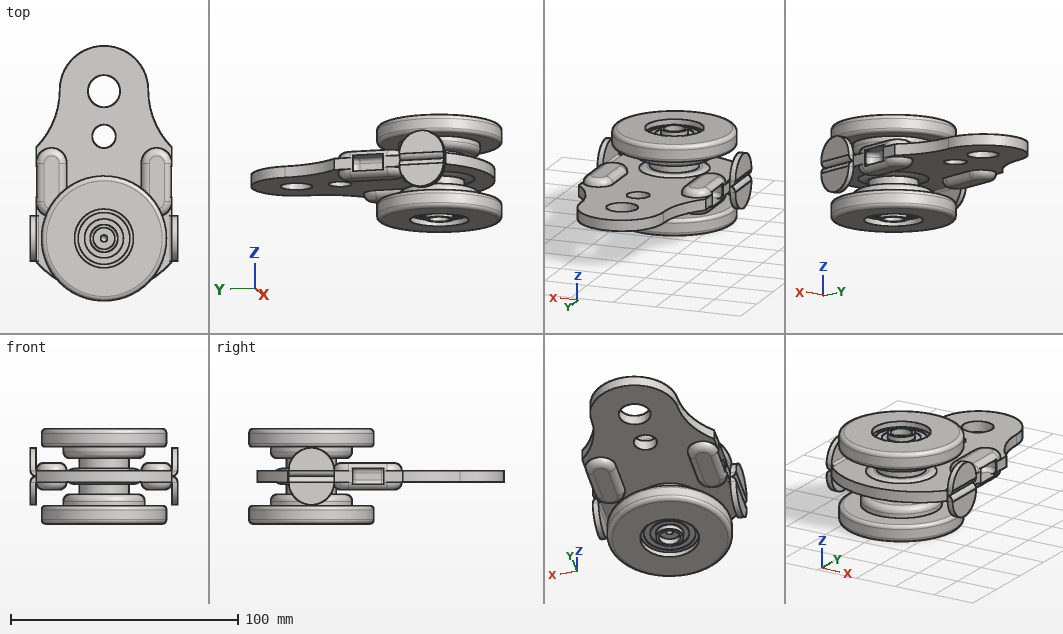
import cadquery as cq
import math

plate_thickness = 5.0
plate_top = plate_thickness / 2
body_half_width = 29.9
body_shoulder_y = 40.1
body_corner_y = -10.3
body_front_y = -23.9
tongue_radius = 19.5
tongue_end_y = 84.8
tongue_hole_diameter = 14.0
tongue_hole_y = 64.8
small_hole_diameter = 10.2
small_hole_y = 44.9
tongue_center_y = tongue_end_y - tongue_radius

swell_top_radius = 12.2
swell_foot_radius = 15.6
swell_height = 1.0

pad_radius = 6.7
pad_length = 30.3
pad_center_y = 24.7
pad_half_height = 6.0
pad_center_x = body_half_width - pad_radius
pad_edge_radius = pad_half_height - plate_top

cavity_radius = 4.0
cavity_end_spacing = 11.6
cavity_length = cavity_end_spacing + 2 * cavity_radius
cavity_height = 7.2
cavity_center_x = 25.4
cavity_center_y = 24.9
cavity_edge_radius = 2.0
window_length = 13.6
window_depth = body_half_width - cavity_center_x

ear_outer_x = 32.53
ear_radius = 10.0
ear_inner_bend = 1.0
ear_thickness = ear_outer_x - body_half_width

wheel_radius = 27.5
wheel_top = 21.0
wheel_thickness = 8.1
outer_edge_radius = 2.0
inner_edge_radius = 1.7
wheel_bottom = wheel_top - wheel_thickness
flange_radius = 36.0 / 2
flange_bottom = 7.9
flange_edge_radius = 3.0
hub_radius = 22.0 / 2

seat_radius = 26.0 / 2
seat_depth = 2.6
shield_outer_radius = 22.8 / 2
shield_inner_radius = 17.2 / 2
shield_depth = 0.3
axle_gap_radius = 12.2 / 2
axle_radius = 12.0 / 2
axle_bore_radius = 9.5 / 2
axle_bore_depth = 3.0
axle_setback = 0.3
center_mark_radius = 3.0 / 2
seat_floor = wheel_top - seat_depth
shield_floor = seat_floor - shield_depth
axle_top = wheel_top - axle_setback
axle_floor = axle_top - axle_bore_depth


def mirrored(shape, plane):
    return shape.union(shape.mirror(plane))


def make_hole(y, diameter):
    return cq.Workplane("XY", origin=(0, y, -plate_top)).circle(diameter / 2).extrude(plate_thickness)


def make_plate():
    run = body_half_width - tongue_radius
    drop = tongue_center_y - body_shoulder_y
    waist_radius = (run**2 + drop**2) / (2 * run)
    half_angle = math.asin(drop / waist_radius) / 2
    mid_x = tongue_radius + waist_radius * (1 - math.cos(half_angle))
    mid_y = tongue_center_y - waist_radius * math.sin(half_angle)
    return (
        cq.Workplane("XY", origin=(0, 0, -plate_top))
        .moveTo(-tongue_radius, tongue_center_y)
        .threePointArc((0, tongue_end_y), (tongue_radius, tongue_center_y))
        .threePointArc((mid_x, mid_y), (body_half_width, body_shoulder_y))
        .lineTo(body_half_width, body_corner_y)
        .threePointArc((0, body_front_y), (-body_half_width, body_corner_y))
        .lineTo(-body_half_width, body_shoulder_y)
        .threePointArc((-mid_x, mid_y), (-tongue_radius, tongue_center_y))
        .close()
        .extrude(plate_thickness)
        .cut(make_hole(tongue_hole_y, tongue_hole_diameter))
        .cut(make_hole(small_hole_y, small_hole_diameter))
    )


def make_pad():
    return (
        cq.Workplane("XY", origin=(pad_center_x, pad_center_y, 0))
        .slot2D(pad_length, 2 * pad_radius, 90)
        .extrude(pad_half_height, both=True)
        .faces("|Z")
        .edges()
        .fillet(pad_edge_radius)
    )


def make_pocket():
    cavity = (
        cq.Workplane("XY", origin=(cavity_center_x, cavity_center_y, 0))
        .slot2D(cavity_length, 2 * cavity_radius, 90)
        .extrude(cavity_height / 2, both=True)
        .faces("|Z")
        .edges()
        .fillet(cavity_edge_radius)
    )
    window = (
        cq.Workplane("XY", origin=(cavity_center_x, cavity_center_y, 0))
        .box(window_depth, window_length, cavity_height, centered=(False, True, True))
    )
    return cavity.union(window)


def make_ear():
    disc = (
        cq.Workplane("YZ", origin=(body_half_width, 0, plate_top))
        .moveTo(-ear_radius, 0)
        .threePointArc((0, ear_radius), (ear_radius, 0))
        .close()
        .extrude(ear_thickness)
    )
    fold = (
        cq.Workplane("XZ", origin=(0, ear_radius, 0))
        .moveTo(body_half_width, 0)
        .radiusArc((body_half_width + plate_top, plate_top), -plate_top)
        .lineTo(body_half_width, plate_top)
        .close()
        .extrude(2 * ear_radius)
    )
    bend = (
        cq.Workplane("XZ", origin=(0, ear_radius, 0))
        .moveTo(body_half_width, plate_top)
        .lineTo(body_half_width, plate_top + ear_inner_bend)
        .radiusArc((body_half_width - ear_inner_bend, plate_top), ear_inner_bend)
        .close()
        .extrude(2 * ear_radius)
    )
    return disc.union(fold).union(bend)


def make_wheel_side():
    swell_top = plate_top + swell_height
    swell_run = swell_foot_radius - swell_top_radius
    swell_arc = (swell_run**2 + swell_height**2) / (2 * swell_height)
    return (
        cq.Workplane("XZ")
        .lineTo(swell_foot_radius, 0)
        .lineTo(swell_foot_radius, plate_top)
        .radiusArc((swell_top_radius, swell_top), -swell_arc)
        .lineTo(hub_radius, swell_top)
        .lineTo(hub_radius, flange_bottom)
        .lineTo(flange_radius - flange_edge_radius, flange_bottom)
        .radiusArc((flange_radius, flange_bottom + flange_edge_radius), -flange_edge_radius)
        .lineTo(flange_radius, wheel_bottom)
        .lineTo(wheel_radius - inner_edge_radius, wheel_bottom)
        .radiusArc((wheel_radius, wheel_bottom + inner_edge_radius), -inner_edge_radius)
        .lineTo(wheel_radius, wheel_top - outer_edge_radius)
        .radiusArc((wheel_radius - outer_edge_radius, wheel_top), -outer_edge_radius)
        .lineTo(seat_radius, wheel_top)
        .lineTo(seat_radius, seat_floor)
        .lineTo(shield_outer_radius, seat_floor)
        .lineTo(shield_outer_radius, shield_floor)
        .lineTo(shield_inner_radius, shield_floor)
        .lineTo(shield_inner_radius, seat_floor)
        .lineTo(axle_gap_radius, seat_floor)
        .lineTo(axle_gap_radius, shield_floor)
        .lineTo(axle_radius, shield_floor)
        .lineTo(axle_radius, axle_top)
        .lineTo(axle_bore_radius, axle_top)
        .lineTo(axle_bore_radius, axle_floor)
        .lineTo(center_mark_radius, axle_floor)
        .lineTo(0, axle_floor - center_mark_radius)
        .close()
        .revolve(360, (0, 0), (0, 1))
    )


plate = make_plate()
pads = mirrored(make_pad(), "YZ")
pockets = mirrored(make_pocket(), "YZ")
ears = mirrored(mirrored(make_ear(), "YZ"), "XY")
wheels = mirrored(make_wheel_side(), "XY")
result = plate.union(pads).cut(pockets).union(ears).union(wheels)